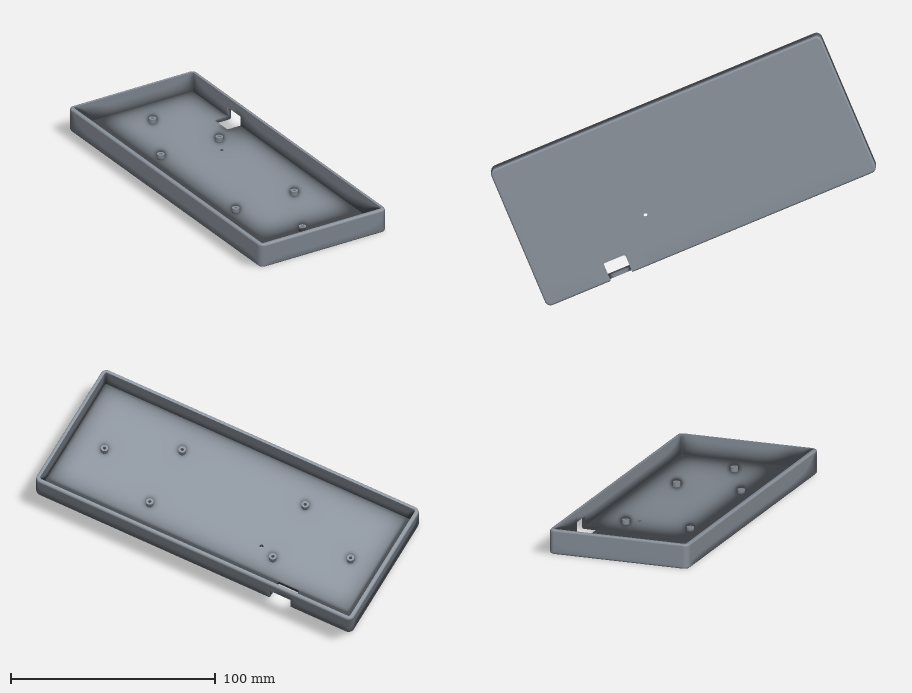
import cadquery as cq

length = 175.2
width = 73.2
height = 12.5
wall = 2.0
floor = 2.0
corner_radius = 3.0
inner_corner_radius = corner_radius - wall
edge_fillet = 1.0

standoff_diameter = 3.7
standoff_height = 2.6
screw_hole_diameter = 1.6
standoff_pitch_x = 34.0
standoff_pitch_y = 17.0

floor_hole_diameter = 2.0
floor_hole_x = -25.5
floor_hole_y = 13.0

opening_left = -54.0
opening_length = 11.5
opening_front = 27.2
opening_height = 6.8
opening_corner_radius = 1.0


def make_tray():
    body = cq.Workplane("XY").box(length, width, height, centered=(True, True, False))
    body = body.edges("|Z").fillet(corner_radius)
    body = body.faces("<Z or >Z").edges().fillet(edge_fillet)
    cavity = (
        cq.Workplane("XY", origin=(0, 0, floor))
        .rect(length - 2 * wall, width - 2 * wall)
        .extrude(height - floor)
        .edges("|Z")
        .fillet(inner_corner_radius)
    )
    return body.cut(cavity)


def make_standoffs():
    centres = [(-2 * standoff_pitch_x, 0), (2 * standoff_pitch_x, 0)]
    for side_x in (-1, 1):
        for side_y in (-1, 1):
            centres.append((side_x * standoff_pitch_x, side_y * standoff_pitch_y))
    return (
        cq.Workplane("XY", origin=(0, 0, floor))
        .pushPoints(centres)
        .circle(standoff_diameter / 2)
        .circle(screw_hole_diameter / 2)
        .extrude(standoff_height)
    )


def make_floor_hole():
    return (
        cq.Workplane("XY")
        .center(floor_hole_x, floor_hole_y)
        .circle(floor_hole_diameter / 2)
        .extrude(floor)
    )


def make_connector_opening():
    return (
        cq.Workplane("XY", origin=(opening_left, opening_front, 0))
        .box(opening_length, width / 2 - opening_front, opening_height, centered=False)
        .edges("|Z and <Y")
        .fillet(opening_corner_radius)
    )


result = make_tray().union(make_standoffs()).cut(make_floor_hole()).cut(make_connector_opening())